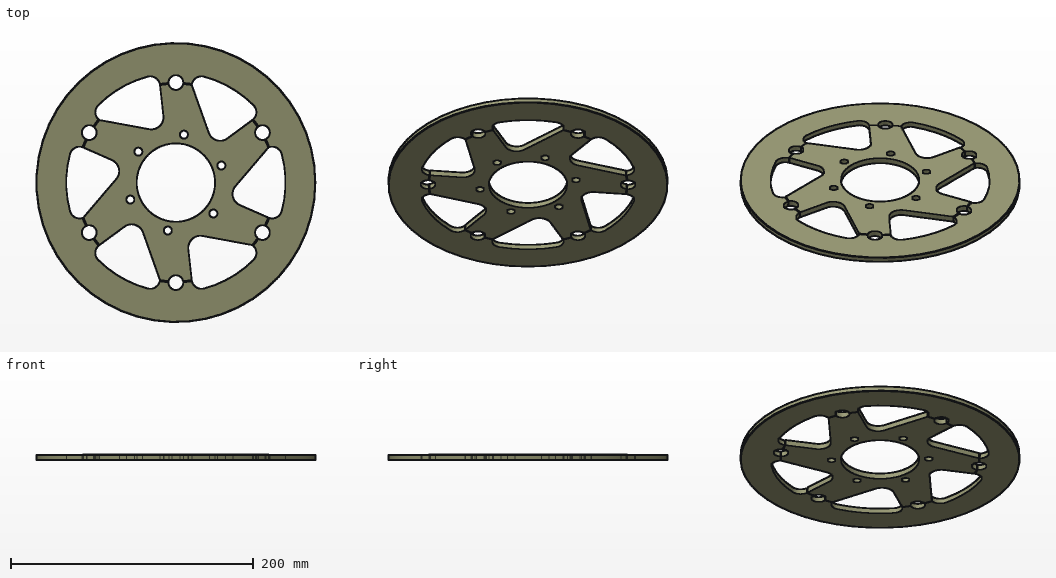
import cadquery as cq
import math

outer_radius = 115.0
ring_thickness = 4.5
rim_chamfer = 0.5
carrier_thickness = 5.0
arm_count = 6
arm_pitch = 360 / arm_count

ring_bore_radius = 82.0
joint_gap = 0.7
carrier_radius = ring_bore_radius - joint_gap
button_radius = 6.0
button_circle_radius = 82.3

window_radius = 90.2
ring_fillet = 8.0
arm_fillet = 10.0
window_fillet_angle = 15.1
arm_corner_angle = 20.7
apex_x = 40.5
apex_y = -13.0

hub_bore_radius = 32.2
bolt_hole_radius = 3.2
bolt_circle_radius = 40.0
bolt_start_angle = 20.5


def polar_point(radius, angle):
    """Return the XY point at a radius and an angle in degrees."""
    return (radius * math.cos(math.radians(angle)), radius * math.sin(math.radians(angle)))


def disc(radius, thickness):
    """Return a disc standing on the XY plane."""
    return cq.Workplane("XY").circle(radius).extrude(thickness)


def hole_circle(hole_radius, circle_radius, start_angle):
    """Return through-hole cutters on a circle, one per arm."""
    centres = [polar_point(circle_radius, start_angle + i * arm_pitch) for i in range(arm_count)]
    return cq.Workplane("XY").pushPoints(centres).circle(hole_radius).extrude(carrier_thickness)


def cut_windows(body, cutter):
    """Cut one window cutter from a body at every arm pitch."""
    for i in range(arm_count):
        body = body.cut(cutter.rotate((0, 0, 0), (0, 0, 1), i * arm_pitch))
    return body


def ring_window():
    """Round-cornered recess in the ring bore, centred on +X."""
    fillet_centre_radius = window_radius - ring_fillet
    lower_tangent = polar_point(window_radius, -window_fillet_angle)
    upper_tangent = polar_point(window_radius, window_fillet_angle)
    fillet_centres = [polar_point(fillet_centre_radius, side * window_fillet_angle) for side in (-1, 1)]
    sector = (
        cq.Workplane("XY")
        .lineTo(*lower_tangent)
        .threePointArc((window_radius, 0), upper_tangent)
        .close()
        .extrude(carrier_thickness)
    )
    corners = cq.Workplane("XY").pushPoints(fillet_centres).circle(ring_fillet).extrude(carrier_thickness)
    return sector.union(corners)


def carrier_window():
    """Skewed V notch with a round inner corner, opening towards +X."""
    apex = (apex_x, apex_y)
    edges = []
    for side in (-1, 1):
        corner_x, corner_y = polar_point(carrier_radius, side * arm_corner_angle)
        edges.append((2 * corner_x - apex_x, 2 * corner_y - apex_y))
    notch = cq.Workplane("XY").polyline([apex, *edges]).close().extrude(carrier_thickness)
    return notch.edges("|Z and <X").fillet(arm_fillet)


def make_ring(button_holes):
    """Build the outer friction ring."""
    blank = disc(outer_radius, ring_thickness).faces("<Z or >Z").edges().chamfer(rim_chamfer)
    ring = blank.cut(disc(ring_bore_radius, ring_thickness))
    return cut_windows(ring, ring_window()).cut(button_holes)


def make_carrier(button_holes):
    """Build the six-armed inner carrier."""
    carrier = disc(carrier_radius, carrier_thickness).cut(disc(hub_bore_radius, carrier_thickness))
    bolt_holes = hole_circle(bolt_hole_radius, bolt_circle_radius, bolt_start_angle)
    return cut_windows(carrier, carrier_window()).cut(bolt_holes).cut(button_holes)


button_holes = hole_circle(button_radius, button_circle_radius, arm_pitch / 2)
ring = make_ring(button_holes)
carrier = make_carrier(button_holes)

result = cq.Compound.makeCompound([ring.val(), carrier.val()])